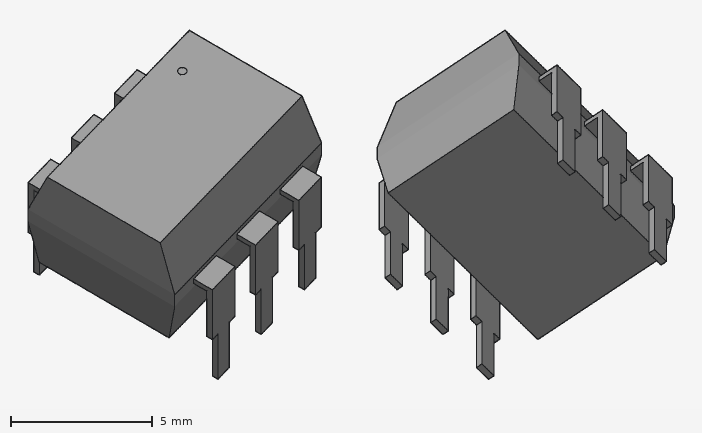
import cadquery as cq

belt_width = 6.48
belt_length = 8.64
belt_height = 0.67
top_width = 4.98
top_length = 8.35
bottom_width = 5.74
bottom_length = 8.31
upper_height = 2.21
lower_height = 2.18

lead_span = 8.13
lead_thickness = 0.25
lead_pitch = 2.54
leads_per_side = 3
shoulder_width = 1.33
tip_width = 0.67
tip_length = 2.53

mark_diameter = 0.33
mark_depth = 0.04
mark_x = -1.57
mark_y = lead_pitch

overall_height = 7.75
belt_top = overall_height - upper_height
belt_bottom = belt_top - belt_height
lead_top = (belt_top + belt_bottom + lead_thickness) / 2


def tapered_block(base_z, base_size, end_size, rise):
    """Straight-sided loft between two centred rectangles."""
    return (
        cq.Workplane("XY", origin=(0, 0, base_z))
        .rect(*base_size)
        .workplane(offset=rise)
        .rect(*end_size)
        .loft(ruled=True)
    )


def make_mark():
    """Thin disc flush with the top of the housing."""
    mark_plane = cq.Workplane("XY", origin=(mark_x, mark_y, overall_height))
    return mark_plane.circle(mark_diameter / 2).extrude(-mark_depth)


def make_housing(mark):
    """Belt and two tapered blocks, with a recess for the mark."""
    belt_size = (belt_width, belt_length)
    belt = cq.Workplane("XY", origin=(0, 0, belt_bottom)).rect(*belt_size).extrude(belt_height)
    upper = tapered_block(belt_top, belt_size, (top_width, top_length), upper_height)
    lower = tapered_block(belt_bottom, belt_size, (bottom_width, bottom_length), -lower_height)
    return belt.union(upper).union(lower).cut(mark)


def make_lead(side, y):
    """Bent lead that meets the belt; side is -1 for -X and +1 for +X."""
    outer_x = side * lead_span / 2
    inner_x = outer_x - side * lead_thickness
    root_x = side * belt_width / 2
    underside = lead_top - lead_thickness
    shoulder_profile = [
        (root_x, lead_top),
        (outer_x, lead_top),
        (outer_x, tip_length),
        (inner_x, tip_length),
        (inner_x, underside),
        (root_x, underside),
    ]
    shoulder = (
        cq.Workplane("XZ", origin=(0, y, 0))
        .polyline(shoulder_profile)
        .close()
        .extrude(shoulder_width / 2, both=True)
    )
    tip = (
        cq.Workplane("XY", origin=((outer_x + inner_x) / 2, y, 0))
        .rect(lead_thickness, tip_width)
        .extrude(tip_length)
    )
    return shoulder.union(tip)


mark = make_mark()
housing = make_housing(mark)

leads = []
for side in (-1, 1):
    for index in range(leads_per_side):
        y = (index - (leads_per_side - 1) / 2) * lead_pitch
        leads.append(make_lead(side, y).val())

result = cq.Compound.makeCompound([housing.val(), mark.val(), *leads])